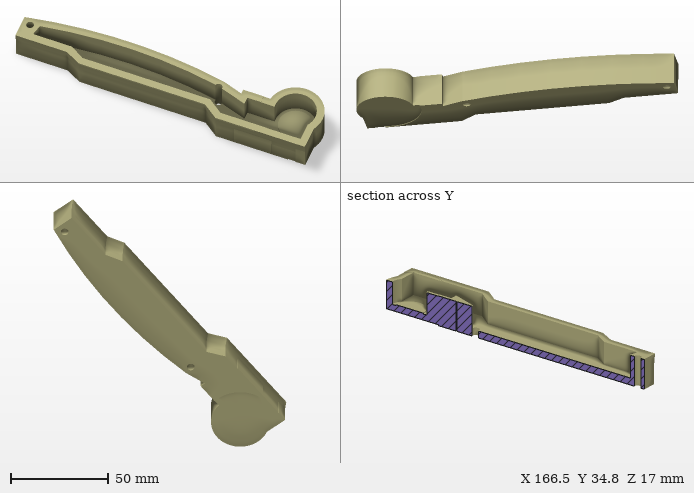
import cadquery as cq
import math

height = 17.0
head_x, head_y = 151.5, 19.8
head_radius = 15.0
wall = 4.0
bore_radius = head_radius - wall
end_x = head_x + 13.2

floor_z = 4.2
floor_boss_diameter = 18.2
floor_boss_height = 0.5
relief_radius = 18.5
top_relief_depth = 0.2
bottom_relief_depth = 0.5
bottom_step_x = 155.0

pin_diameter = 4.0
pin_centres = [(4.5, 19.5), (109.3, 19.0)]

front_corners = [(0, 10.5), (28.5, 10.5), (37.0, 6.0), (107.0, 6.0), (115.1, 0), (end_x, 0)]

flare_depth = 1.08
flare_low_z = 4.2
flare_radius = ((height - flare_low_z) ** 2 + flare_depth ** 2) / (2 * flare_depth)
lip_height = 1.0
lip_end_x = 136.5
cutter_reach = 5.0

pad_depth = 2.5
pads = [(125.3, 146.0, 0.7, 11.7), (146.0, 159.4, 1.2, 8.7), (159.4, end_x, 0.5, 11.7)]


def front_inset(z):
    """Distance of the concave wall behind its top edge at height z."""
    drop = flare_radius - math.sqrt(flare_radius ** 2 - (z - flare_low_z) ** 2)
    return flare_depth - drop


def head_cylinder(radius, bottom, depth):
    return cq.Workplane("XY", origin=(head_x, head_y, bottom)).circle(radius).extrude(depth)


def make_blank():
    arm = (
        cq.Workplane("XY")
        .polyline(front_corners)
        .lineTo(end_x, head_y)
        .lineTo(head_x, head_y)
        .lineTo(head_x, 22.2)
        .lineTo(121.6, 22.2)
        .lineTo(121.6, 19.5)
        .lineTo(110.8, 23.2)
        .threePointArc((52.5, 28.6), (0, 23.2))
        .close()
        .extrude(height)
    )
    return arm.union(head_cylinder(head_radius, 0, height))


def make_pocket():
    depth = height - floor_z
    arm = (
        cq.Workplane("XY", origin=(0, 0, floor_z))
        .moveTo(8.2, 14.7)
        .lineTo(29.8, 14.7)
        .lineTo(37.3, 10.0)
        .lineTo(108.3, 10.0)
        .lineTo(116.5, wall)
        .lineTo(end_x - wall, wall)
        .lineTo(end_x - wall, head_y)
        .lineTo(head_x, head_y)
        .lineTo(head_x, 18.2)
        .lineTo(125.6, 18.2)
        .lineTo(125.6, 14.0)
        .lineTo(109.3, 19.3)
        .threePointArc((52.5, 24.7), (9.5, 20.7))
        .close()
        .extrude(depth)
    )
    boss = head_cylinder(floor_boss_diameter / 2, floor_z, floor_boss_height)
    return arm.union(head_cylinder(bore_radius, floor_z, depth)).cut(boss)


def flare_cutter(start, end, top):
    """Material in front of the concave wall along one straight stretch."""
    start_x, start_y = start
    profile = (
        cq.Workplane("YZ", origin=(start_x, start_y, 0))
        .moveTo(-cutter_reach, 0)
        .lineTo(front_inset(0), 0)
        .threePointArc((front_inset(top / 2), top / 2), (front_inset(top), top))
        .lineTo(-cutter_reach, top)
        .close()
    )
    face = cq.Face.makeFromWires(profile.wires().val())
    direction = cq.Vector(end[0] - start_x, end[1] - start_y, 0)
    return cq.Workplane(cq.Solid.extrudeLinear(face, direction))


def make_pad(left, right, bottom, top):
    front = front_inset(top)
    size = (right - left, pad_depth - front, top - bottom)
    return cq.Workplane("XY").box(*size, centered=False).translate((left, front, bottom))


result = make_blank()

lip_bottom = height - lip_height
lip_end = (lip_end_x, 0)
front_stretches = [
    (front_corners[0], front_corners[1], height),
    (front_corners[1], front_corners[2], height),
    (front_corners[2], front_corners[3], lip_bottom),
    (front_corners[3], front_corners[4], height),
    (front_corners[4], lip_end, lip_bottom),
    (lip_end, front_corners[5], height),
]
for start, end, top in front_stretches:
    result = result.cut(flare_cutter(start, end, top))

for pad in pads:
    result = result.union(make_pad(*pad))

result = result.cut(make_pocket())
result = result.cut(
    cq.Workplane("XY").pushPoints(pin_centres).circle(pin_diameter / 2).extrude(height)
)

result = result.cut(head_cylinder(relief_radius, height - top_relief_depth, top_relief_depth))
result = result.cut(head_cylinder(relief_radius, 0, bottom_relief_depth))
bottom_step_size = (end_x - bottom_step_x, head_y, bottom_relief_depth)
bottom_step = cq.Workplane("XY").box(*bottom_step_size, centered=False)
result = result.cut(bottom_step.translate((bottom_step_x, 0, 0)))